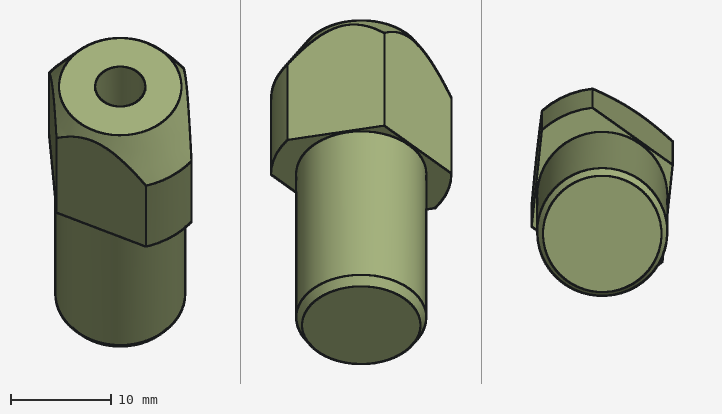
import cadquery as cq
import math

total_height = 35.0
head_height = 15.0
head_diameter = 18.0
head_corner_span = 15.4
flat_angle = 30.0
cone_height = 5.0
shank_diameter = 13.0
chamfer_height = 1.0
taper_angle = 30.0
hole_diameter = 5.0
hole_depth = head_height

shank_height = total_height - head_height
head_radius = head_diameter / 2
taper_slope = math.tan(math.radians(taper_angle))


def make_head():
    """Round bar with a conical top, trimmed by four flats."""
    top_radius = head_radius - cone_height * taper_slope
    turned_profile = [
        (0, shank_height),
        (head_radius, shank_height),
        (head_radius, total_height - cone_height),
        (top_radius, total_height),
        (0, total_height),
    ]
    turned = cq.Workplane("XZ").polyline(turned_profile).close().revolve(360, (0, 0), (0, 1))

    half_span = head_corner_span / 2
    half_length = half_span / math.tan(math.radians(flat_angle))
    flats = (
        cq.Workplane("XY", origin=(0, 0, shank_height))
        .polyline([(half_length, 0), (0, half_span), (-half_length, 0), (0, -half_span)])
        .close()
        .extrude(head_height)
    )
    return turned.intersect(flats)


def make_shank():
    """Cylindrical shank with a steep chamfer at its lower end."""
    shank_radius = shank_diameter / 2
    tip_radius = shank_radius - chamfer_height * taper_slope
    shank_profile = [
        (0, 0),
        (tip_radius, 0),
        (shank_radius, chamfer_height),
        (shank_radius, shank_height),
        (0, shank_height),
    ]
    return cq.Workplane("XZ").polyline(shank_profile).close().revolve(360, (0, 0), (0, 1))


hole = (
    cq.Workplane("XY", origin=(0, 0, total_height))
    .circle(hole_diameter / 2)
    .extrude(-hole_depth)
)

result = make_head().union(make_shank()).cut(hole)